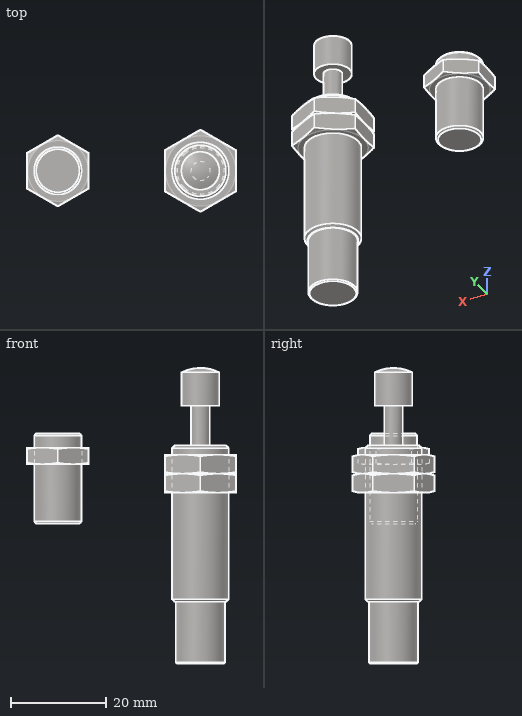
import cadquery as cq
import math

TOTAL_HEIGHT = 62.3
THREAD_DIAMETER = 12.0
THREAD_CHAMFER = 0.613
THREAD_BOTTOM_Z = 13.0
THREAD_TOP_Z = 46.0
TAIL_DIAMETER = 10.4
TAIL_CHAMFER = 0.3
ROD_DIAMETER = 4.0
CAP_DIAMETER = 8.0
CAP_HEIGHT = 8.0
DOME_HEIGHT = 1.0

ABSORBER_NUT_FLATS = 15.0
ABSORBER_NUT_THICKNESS = 4.0
ABSORBER_NUT_COUNT = 2
ABSORBER_NUTS_BOTTOM_Z = 36.0

STOPPER_X = -30.0
STOPPER_DIAMETER = 10.0
STOPPER_CHAMFER = 0.46
STOPPER_LENGTH = 19.0
STOPPER_BOTTOM_Z = 29.5
STOPPER_NUT_FLATS = 13.0
STOPPER_NUT_THICKNESS = 3.5
STOPPER_ABOVE_NUT = 3.0

NUT_FACE_INSET = 0.1
NUT_CHAMFER_ANGLE = 15.0


def make_absorber():
    """Turned body with a stepped tail, a threaded barrel, a rod and a domed cap."""
    thread_radius = THREAD_DIAMETER / 2
    thread_end_radius = thread_radius - THREAD_CHAMFER
    tail_radius = TAIL_DIAMETER / 2
    rod_radius = ROD_DIAMETER / 2
    cap_radius = CAP_DIAMETER / 2
    cap_bottom_z = TOTAL_HEIGHT - CAP_HEIGHT
    dome_base_z = TOTAL_HEIGHT - DOME_HEIGHT

    dome_radius = (cap_radius**2 + DOME_HEIGHT**2) / (2 * DOME_HEIGHT)
    half_angle = math.asin(cap_radius / dome_radius) / 2
    dome_mid_point = (
        dome_radius * math.sin(half_angle),
        TOTAL_HEIGHT - dome_radius * (1 - math.cos(half_angle)),
    )

    return (
        cq.Workplane("XZ")
        .moveTo(0, 0)
        .lineTo(tail_radius - TAIL_CHAMFER, 0)
        .lineTo(tail_radius, TAIL_CHAMFER)
        .lineTo(tail_radius, THREAD_BOTTOM_Z)
        .lineTo(thread_end_radius, THREAD_BOTTOM_Z)
        .lineTo(thread_radius, THREAD_BOTTOM_Z + THREAD_CHAMFER)
        .lineTo(thread_radius, THREAD_TOP_Z - THREAD_CHAMFER)
        .lineTo(thread_end_radius, THREAD_TOP_Z)
        .lineTo(rod_radius, THREAD_TOP_Z)
        .lineTo(rod_radius, cap_bottom_z)
        .lineTo(cap_radius, cap_bottom_z)
        .lineTo(cap_radius, dome_base_z)
        .threePointArc(dome_mid_point, (0, TOTAL_HEIGHT))
        .close()
        .revolve(360, (0, 0, 0), (0, 1, 0))
    )


def make_nut(across_flats, thickness, bore_diameter):
    """Hex nut with its bottom at Z = 0, flats facing +X and -X, corners chamfered at both ends."""
    across_corners = across_flats / math.cos(math.radians(30))
    corner_radius = across_corners / 2
    face_radius = across_flats / 2 - NUT_FACE_INSET
    chamfer_height = (corner_radius - face_radius) * math.tan(math.radians(NUT_CHAMFER_ANGLE))

    hexagon = (
        cq.Workplane("XY")
        .transformed(rotate=(0, 0, 90))
        .polygon(6, across_corners)
        .extrude(thickness)
    )
    chamfer_envelope = (
        cq.Workplane("XZ")
        .moveTo(0, 0)
        .lineTo(face_radius, 0)
        .lineTo(corner_radius, chamfer_height)
        .lineTo(corner_radius, thickness - chamfer_height)
        .lineTo(face_radius, thickness)
        .lineTo(0, thickness)
        .close()
        .revolve(360, (0, 0, 0), (0, 1, 0))
    )
    bore = cq.Workplane("XY").circle(bore_diameter / 2).extrude(thickness)
    return hexagon.intersect(chamfer_envelope).cut(bore)


def make_stopper_bolt():
    """Plain cylinder chamfered at both ends."""
    return (
        cq.Workplane("XY")
        .circle(STOPPER_DIAMETER / 2)
        .extrude(STOPPER_LENGTH)
        .edges("%CIRCLE")
        .chamfer(STOPPER_CHAMFER)
        .translate((STOPPER_X, 0, STOPPER_BOTTOM_Z))
    )


absorber = make_absorber()

absorber_nuts = []
for index in range(ABSORBER_NUT_COUNT):
    nut_bottom_z = ABSORBER_NUTS_BOTTOM_Z + index * ABSORBER_NUT_THICKNESS
    absorber_nut = make_nut(ABSORBER_NUT_FLATS, ABSORBER_NUT_THICKNESS, THREAD_DIAMETER)
    absorber_nuts.append(absorber_nut.translate((0, 0, nut_bottom_z)))

stopper_bolt = make_stopper_bolt()

stopper_nut_bottom_z = STOPPER_BOTTOM_Z + STOPPER_LENGTH - STOPPER_ABOVE_NUT - STOPPER_NUT_THICKNESS
stopper_nut = make_nut(STOPPER_NUT_FLATS, STOPPER_NUT_THICKNESS, STOPPER_DIAMETER)
stopper_nut = stopper_nut.translate((STOPPER_X, 0, stopper_nut_bottom_z))

result = cq.Compound.makeCompound(
    [
        absorber.val(),
        *[nut.val() for nut in absorber_nuts],
        stopper_bolt.val(),
        stopper_nut.val(),
    ]
)